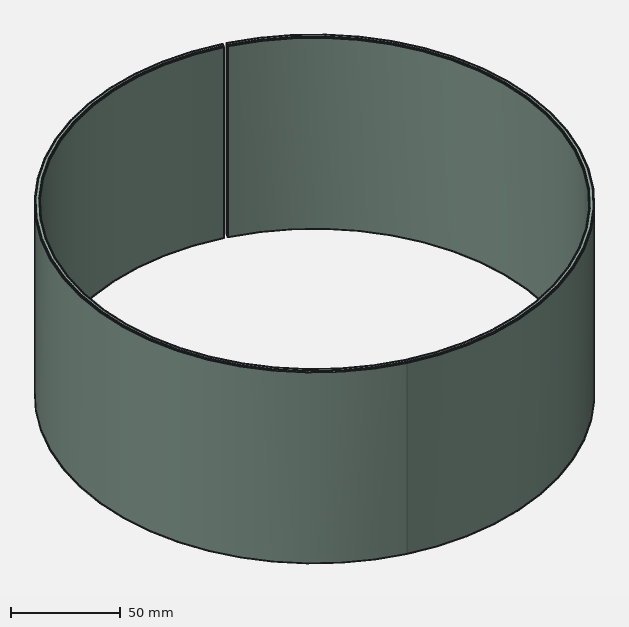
import cadquery as cq

outer_diameter = 255.0
height = 110.0
wall = 2.5
edge_chamfer = 0.5
slit_width = 2.0

outer_radius = outer_diameter / 2
inner_radius = outer_radius - wall

sleeve = (
    cq.Workplane("XY")
    .circle(outer_radius)
    .circle(inner_radius)
    .extrude(height)
    .faces("<Z or >Z")
    .chamfer(edge_chamfer)
)

slit_depth = 4 * wall
slit = (
    cq.Workplane("XY")
    .center(-outer_radius, slit_width / 2)
    .rect(slit_depth, slit_width)
    .extrude(height)
)

result = sleeve.cut(slit)